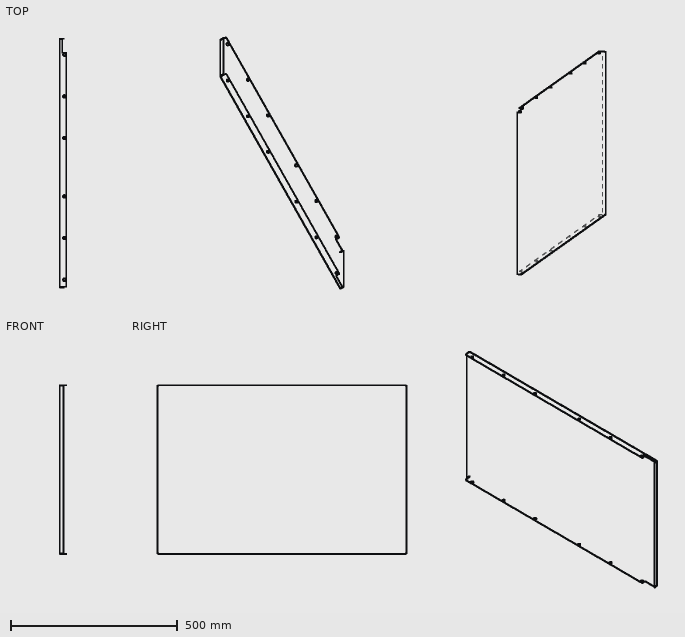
import cadquery as cq

depth = 20.0
length = 747.0
height = 507.0

thickness = 1.0
bend_radius = 2.0
end_flange_depth = 12.0
long_flange_inset = 2.2
end_flange_inset = 2.0

step_length = 42.0
step_depth = 8.5
corner_chamfer = 2.0

hole_diameter = 7.0
hole_from_face = 14.0
hole_pitch = 125.0
holes_per_group = 3
first_hole_from_step = 6.5
last_hole_from_end = 23.5

face_x = -depth / 2
half_length = length / 2
half_height = height / 2
step_y = half_length - step_length


def channel(width, span, flange_depth):
    """U-shaped sheet: web on the -X face, flanges width apart in Y, span long in Z."""
    outer = (
        cq.Workplane("XY")
        .box(flange_depth, width, span, centered=(False, True, True))
        .edges("|Z and <X")
        .fillet(bend_radius)
    )
    inner = (
        cq.Workplane("XY")
        .box(flange_depth, width - 2 * thickness, span, centered=(False, True, True))
        .edges("|Z and <X")
        .fillet(bend_radius - thickness)
        .translate((thickness, 0, 0))
    )
    return outer.cut(inner).translate((face_x, 0, 0))


def long_flange_channel():
    """Face sheet with the top and bottom flanges, stepped at +Y and chamfered at -Y."""
    span = length - 2 * long_flange_inset
    sheet = channel(height, span, depth).rotate((0, 0, 0), (1, 0, 0), 90)
    step = cq.Workplane("XY").box(
        depth - step_depth, step_length, height, centered=(False, False, True)
    ).translate((face_x + step_depth, step_y, 0))
    return sheet.edges("|Z and >X and <Y").chamfer(corner_chamfer).cut(step)


def end_flange_channel():
    """Face sheet with the two end flanges."""
    return channel(length, height - 2 * end_flange_inset, end_flange_depth)


def hole_cutter():
    """Pins through both long flanges, in two groups of equal pitch."""
    first_y = step_y - first_hole_from_step
    last_y = -half_length + last_hole_from_end
    hole_x = face_x + hole_from_face
    places = []
    for index in range(holes_per_group):
        places.append((hole_x, first_y - index * hole_pitch))
        places.append((hole_x, last_y + index * hole_pitch))
    return (
        cq.Workplane("XY", origin=(0, 0, -half_height))
        .pushPoints(places)
        .circle(hole_diameter / 2)
        .extrude(height)
    )


result = long_flange_channel().union(end_flange_channel()).cut(hole_cutter())